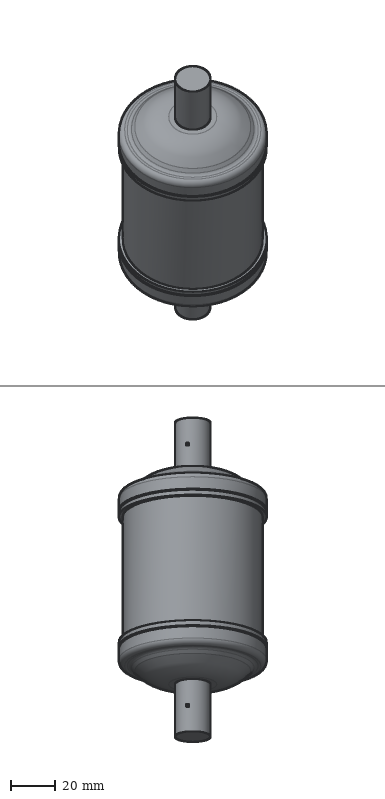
import cadquery as cq
import math

total_height = 149.0
half_height = total_height / 2

tube_radius = 8.0
tube_length = 24.9
pinhole_diameter = 1.3
pinhole_depth = 0.7

shell_radius = 31.7

cap_radius = 33.5
cap_rim_height = 29.8
cap_shoulder_height = 41.0
shoulder_fillet = 2.7
rim_band = 2.4
groove_width = 0.5
groove_depth = 0.1

dome_top_height = half_height - tube_length
dome_flat_radius = 10.9
crown_radius = 21.8
flank_angle = 45.0
blend_radius = 2.7


def arc_offset(radius, angle):
    """Radial run and vertical fall along an arc that starts out horizontal."""
    turn = math.radians(angle)
    return radius * math.sin(turn), radius * (1 - math.cos(turn))


def make_end_cap():
    """Revolve the upper cap, dome and tube about the Z axis."""
    groove_bottom = cap_rim_height + rim_band
    groove_top = groove_bottom + groove_width
    groove_radius = cap_radius - groove_depth

    fillet_inset = cap_radius - shoulder_fillet
    fillet_start = cap_shoulder_height - shoulder_fillet
    fillet_run, fillet_fall = arc_offset(shoulder_fillet, 45)
    fillet_middle = (fillet_inset + fillet_run, cap_shoulder_height - fillet_fall)

    crown_run, crown_fall = arc_offset(crown_radius, flank_angle)
    half_run, half_fall = arc_offset(crown_radius, flank_angle / 2)
    crown_edge = (dome_flat_radius + crown_run, dome_top_height - crown_fall)
    crown_middle = (dome_flat_radius + half_run, dome_top_height - half_fall)

    blend_run, blend_rise = arc_offset(blend_radius, flank_angle)
    half_blend_run, half_blend_rise = arc_offset(blend_radius, flank_angle / 2)
    flank_foot_height = cap_shoulder_height + blend_rise
    flank_run = (crown_edge[1] - flank_foot_height) / math.tan(math.radians(flank_angle))
    flank_foot_radius = crown_edge[0] + flank_run
    blend_end_radius = flank_foot_radius + blend_run
    blend_middle = (blend_end_radius - half_blend_run, cap_shoulder_height + half_blend_rise)

    profile = (
        cq.Workplane("XZ")
        .moveTo(0, cap_rim_height)
        .lineTo(cap_radius, cap_rim_height)
        .lineTo(cap_radius, groove_bottom)
        .lineTo(groove_radius, groove_bottom)
        .lineTo(groove_radius, groove_top)
        .lineTo(cap_radius, groove_top)
        .lineTo(cap_radius, fillet_start)
        .threePointArc(fillet_middle, (fillet_inset, cap_shoulder_height))
        .lineTo(blend_end_radius, cap_shoulder_height)
        .threePointArc(blend_middle, (flank_foot_radius, flank_foot_height))
        .lineTo(*crown_edge)
        .threePointArc(crown_middle, (dome_flat_radius, dome_top_height))
        .lineTo(tube_radius, dome_top_height)
        .lineTo(tube_radius, half_height)
        .lineTo(0, half_height)
        .close()
    )
    return profile.revolve(360, (0, 0, 0), (0, 1, 0))


def make_pinhole():
    """Cutter for the hole on the -X side of the upper tube."""
    pinhole_height = half_height - tube_length / 2
    return (
        cq.Workplane("YZ", origin=(-tube_radius - pinhole_depth, 0, pinhole_height))
        .circle(pinhole_diameter / 2)
        .extrude(2 * pinhole_depth)
    )


shell = cq.Workplane("XY", origin=(0, 0, -cap_rim_height)).circle(shell_radius).extrude(2 * cap_rim_height)
upper_end = make_end_cap().cut(make_pinhole())
result = shell.union(upper_end).union(upper_end.mirror("XY"))